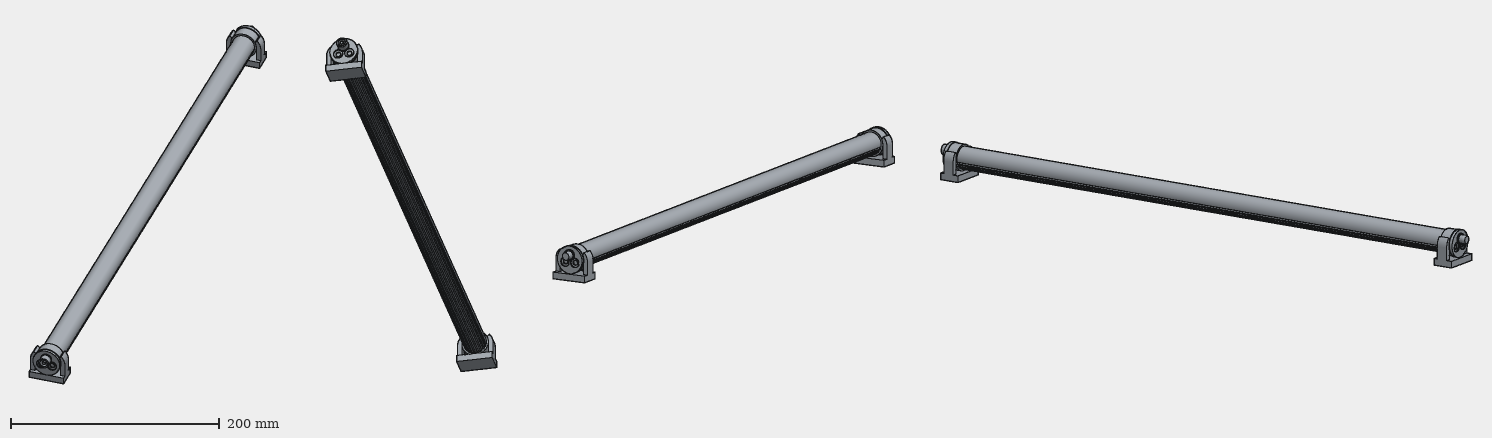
import cadquery as cq
import math


total_length = 604.0
total_height = 34.0

flange_radius = 27.0 / 2
flange_thickness = 3.5
sleeve_radius = 26.0 / 2
sleeve_length = 11.0
axis_height = total_height - flange_radius

tube_length = 559.5
tube_radius = 22.5 / 2
groove_radius = 0.85
groove_count = 10
groove_pitch = 180.0 / (groove_count + 1)

connector_rise = 5.0
pad_radius = 5.5
pad_thickness = 1.0
socket_radius = 5.15
socket_bore_radius = 3.5
socket_pin_radius = 1.5
socket_depth = 5.0
plug_radius = 4.0
plug_tip_radius = 3.5
plug_tip_length = 2.1

screw_offset = 5.5
screw_drop = 2.5
screw_head_radius = 4.55
screw_head_depth = 1.0
screw_bore_radius = 2.5
screw_bore_depth = 2.5

bracket_width = 35.0
base_thickness = axis_height - flange_radius
base_overhang_front = 3.5
base_overhang_back = 5.5
shoulder_drop = 0.9
shoulder_radius = 12.5
shoulder_angle = 45.0

sleeve_start = tube_length / 2
flange_start = sleeve_start + sleeve_length
face_y = flange_start + flange_thickness
pad_y = face_y + pad_thickness
connector_length = total_length / 2 - pad_y


def cylinder(radius, start, length, x, z):
    """A cylinder that runs in +Y from `start`."""
    return cq.Workplane(cq.Solid.makeCylinder(radius, length, cq.Vector(x, start, z), cq.Vector(0, 1, 0)))


def make_tube():
    """Round tube with lengthwise grooves spread over its lower half."""
    body = cylinder(tube_radius, -tube_length / 2, tube_length, 0, axis_height)
    for i in range(groove_count):
        angle = math.radians(180 + groove_pitch * (i + 1))
        groove_x = tube_radius * math.cos(angle)
        groove_z = axis_height + tube_radius * math.sin(angle)
        body = body.cut(cylinder(groove_radius, -tube_length / 2, tube_length, groove_x, groove_z))
    return body


def make_cap():
    """End cap for the +Y end: sleeve, flange, connector pad and two screw recesses."""
    connector_z = axis_height + connector_rise
    cap = cylinder(sleeve_radius, sleeve_start, sleeve_length, 0, axis_height)
    cap = cap.union(cylinder(flange_radius, flange_start, flange_thickness, 0, axis_height))
    for x in (-screw_offset, screw_offset):
        z = axis_height - screw_drop
        cap = cap.cut(cylinder(screw_head_radius, face_y - screw_head_depth, screw_head_depth, x, z))
        cap = cap.cut(cylinder(screw_bore_radius, face_y - screw_bore_depth, screw_bore_depth, x, z))
    return cap.union(cylinder(pad_radius, face_y, pad_thickness, 0, connector_z))


def make_plug_cap():
    """Cap for the +Y end with a plug that narrows to its tip."""
    z = axis_height + connector_rise
    barrel_length = connector_length - plug_tip_length
    barrel = cylinder(plug_radius, pad_y, barrel_length, 0, z)
    tip_start = cq.Vector(0, pad_y + barrel_length, z)
    tip = cq.Solid.makeCone(plug_radius, plug_tip_radius, plug_tip_length, tip_start, cq.Vector(0, 1, 0))
    return make_cap().union(barrel).union(cq.Workplane(tip))


def make_socket_cap():
    """Cap for the -Y end with a bored socket around a pin."""
    z = axis_height + connector_rise
    bore_start = total_length / 2 - socket_depth
    socket = cylinder(socket_radius, pad_y, connector_length, 0, z)
    bore = cylinder(socket_bore_radius, bore_start, socket_depth, 0, z)
    pin = cylinder(socket_pin_radius, bore_start, socket_depth, 0, z)
    return make_cap().union(socket.cut(bore.cut(pin))).mirror("XZ")


def make_bracket(arm_y):
    """Bracket whose two arms, centred at `arm_y`, curve around the sleeve of a cap."""
    half_width = bracket_width / 2
    shoulder_x = half_width - shoulder_radius
    shoulder_z = axis_height - shoulder_drop

    def shoulder_point(side, degrees):
        angle = math.radians(degrees)
        x = shoulder_x + shoulder_radius * math.cos(angle)
        return (side * x, shoulder_z + shoulder_radius * math.sin(angle))

    arm_front = arm_y - sleeve_length / 2
    arms = (
        cq.Workplane("XZ", origin=(0, arm_front, 0))
        .moveTo(-half_width, 0)
        .lineTo(half_width, 0)
        .lineTo(half_width, shoulder_z)
        .threePointArc(shoulder_point(1, shoulder_angle / 2), shoulder_point(1, shoulder_angle))
        .lineTo(shoulder_x, shoulder_z)
        .lineTo(-shoulder_x, shoulder_z)
        .lineTo(*shoulder_point(-1, shoulder_angle))
        .threePointArc(shoulder_point(-1, shoulder_angle / 2), (-half_width, shoulder_z))
        .close()
        .extrude(-sleeve_length)
    )
    channel_height = axis_height - base_thickness
    channel = cq.Workplane("XY", origin=(0, arm_y, base_thickness)).box(
        2 * sleeve_radius, sleeve_length, channel_height, centered=(True, True, False)
    )
    seat = cylinder(sleeve_radius, arm_front, sleeve_length, 0, axis_height)
    base_depth = sleeve_length + base_overhang_front + base_overhang_back
    base = cq.Workplane("XY", origin=(0, arm_front - base_overhang_front, 0)).box(
        bracket_width, base_depth, base_thickness, centered=(True, False, False)
    )
    return arms.cut(channel).cut(seat).union(base).clean()


tube = make_tube()
plug_cap = make_plug_cap()
socket_cap = make_socket_cap()

sleeve_middle = sleeve_start + sleeve_length / 2
brackets = [make_bracket(arm_y) for arm_y in (-sleeve_middle, sleeve_middle)]

result = cq.Compound.makeCompound(
    [tube.val(), plug_cap.val(), socket_cap.val(), *[bracket.val() for bracket in brackets]]
)